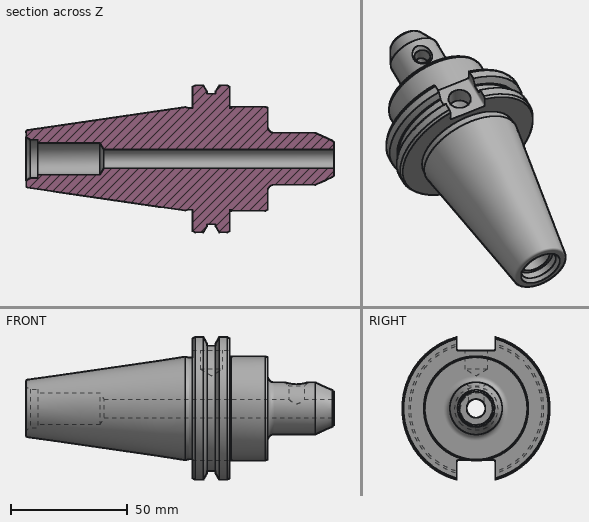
import cadquery as cq
import math

total_length = 131.8

gauge_diameter = 44.4
gauge_x = 68.1
taper_ratio = 7 / 24
rear_fillet = 0.9
relief_diameter = 43.6
relief_cone_end = 69.7

flange_diameter = 63.2
flange_start = 71.1
flange_width = 16.1
flange_chamfer_length = 1.2
flange_chamfer_depth = 0.7
groove_start = 75.9
groove_width = 6.7
groove_floor_diameter = 56.1
groove_flank_length = 1.6
groove_flank_angle = 30.0

collar_diameter = 44.8
collar_end = 103.4
collar_chamfer = 1.2
collar_chamfer_depth = 0.5
collar_neck_diameter = 43.6
collar_neck_length = 0.7
nose_diameter = 22.4
nose_fillet = 2.6
nose_cone_start = 123.7
nose_cone_end_diameter = 15.8
tip_chamfer_length = 0.8
tip_diameter = 14.2

bore_diameter = 7.9
drill_diameter = 13.5
drill_depth = 31.6
drill_tip_angle = 118.0
counterbore_diameter = 16.3
counterbore_depth = 5.0
bore_mouth_diameter = 18.5
bore_mouth_depth = 1.8

slot_width = 16.3
slot_fillet = 0.7
upper_slot_floor = 24.8
lower_slot_floor = 22.1
dimple_diameter = 9.5
dimple_depth = 7.9
screw_x = 115.7
screw_hole_diameter = 6.7
countersink_diameter = 9.7

flange_end = flange_start + flange_width


def revolve_profile(points):
    """Revolve (x, radius) points about the X axis, closing the outline along the axis."""
    closed = [(points[0][0], 0)] + points + [(points[-1][0], 0)]
    return cq.Workplane("XY").polyline(closed).close().revolve(360, (0, 0, 0), (1, 0, 0))


def tip_depth(diameter):
    """Height of the conical end left by a drill."""
    return diameter / 2 / math.tan(math.radians(drill_tip_angle / 2))


def make_taper():
    gauge_radius = gauge_diameter / 2
    rear_radius = gauge_radius - gauge_x * taper_ratio / 2
    taper = revolve_profile([
        (0, rear_radius),
        (gauge_x, gauge_radius),
        (relief_cone_end, relief_diameter / 2),
        (flange_start, relief_diameter / 2),
    ])
    return taper.faces("<X").edges().fillet(rear_fillet)


def make_flange():
    rim = flange_diameter / 2
    edge = rim - flange_chamfer_depth
    floor = groove_floor_diameter / 2
    flank_foot = rim - groove_flank_length / math.tan(math.radians(groove_flank_angle))
    groove_end = groove_start + groove_width
    return revolve_profile([
        (flange_start, edge),
        (flange_start + flange_chamfer_length, rim),
        (groove_start, rim),
        (groove_start + groove_flank_length, flank_foot),
        (groove_start + groove_flank_length, floor),
        (groove_end - groove_flank_length, floor),
        (groove_end - groove_flank_length, flank_foot),
        (groove_end, rim),
        (flange_end - flange_chamfer_length, rim),
        (flange_end, edge),
    ])


def make_collar():
    radius = collar_diameter / 2
    neck_end = flange_end + collar_neck_length
    return revolve_profile([
        (flange_end, collar_neck_diameter / 2),
        (neck_end, collar_neck_diameter / 2),
        (neck_end, radius),
        (collar_end - collar_chamfer, radius),
        (collar_end, radius - collar_chamfer_depth),
    ])


def make_nose():
    radius = nose_diameter / 2
    fillet_offset = nose_fillet * (1 - math.sqrt(0.5))
    return (
        cq.Workplane("XY")
        .moveTo(collar_end, 0)
        .lineTo(collar_end, radius + nose_fillet)
        .threePointArc(
            (collar_end + fillet_offset, radius + fillet_offset),
            (collar_end + nose_fillet, radius),
        )
        .lineTo(nose_cone_start, radius)
        .lineTo(total_length - tip_chamfer_length, nose_cone_end_diameter / 2)
        .lineTo(total_length, tip_diameter / 2)
        .lineTo(total_length, 0)
        .close()
        .revolve(360, (0, 0, 0), (1, 0, 0))
    )


def make_axial_bore():
    bore_radius = bore_diameter / 2
    cone_end = drill_depth + tip_depth(drill_diameter) - tip_depth(bore_diameter)
    return revolve_profile([
        (0, bore_mouth_diameter / 2),
        (bore_mouth_depth, counterbore_diameter / 2),
        (counterbore_depth, counterbore_diameter / 2),
        (counterbore_depth, drill_diameter / 2),
        (drill_depth, drill_diameter / 2),
        (cone_end, bore_radius),
        (total_length, bore_radius),
    ])


def make_drive_slot(floor, side):
    """Slot across the flange; side is +1 for the top and -1 for the bottom."""
    depth = flange_diameter / 2 - floor
    middle = side * (floor + depth / 2)
    inner_face = "<Z" if side > 0 else ">Z"
    return (
        cq.Workplane("XY")
        .box(flange_width, slot_width, depth)
        .faces(inner_face)
        .edges("|X")
        .fillet(slot_fillet)
        .translate((flange_start + flange_width / 2, 0, middle))
    )


def make_dimple():
    """Blind drilled hole in the floor of the upper slot."""
    radius = dimple_diameter / 2
    shoulder = upper_slot_floor - dimple_depth
    return (
        cq.Workplane("XZ")
        .polyline([
            (0, upper_slot_floor),
            (radius, upper_slot_floor),
            (radius, shoulder),
            (0, shoulder - tip_depth(dimple_diameter)),
        ])
        .close()
        .revolve(360, (0, 0, 0), (0, 1, 0))
        .translate((flange_start + flange_width / 2, 0, 0))
    )


def make_screw_hole():
    """Countersunk hole from the top of the nose into the axial bore."""
    top = nose_diameter / 2
    hole_radius = screw_hole_diameter / 2
    sink_radius = countersink_diameter / 2
    return (
        cq.Workplane("XZ")
        .polyline([
            (0, 0),
            (hole_radius, 0),
            (hole_radius, top - (sink_radius - hole_radius)),
            (sink_radius, top),
            (0, top),
        ])
        .close()
        .revolve(360, (0, 0, 0), (0, 1, 0))
        .translate((screw_x, 0, 0))
    )


body = make_taper().union(make_flange()).union(make_collar()).union(make_nose())

result = (
    body.cut(make_axial_bore())
    .cut(make_drive_slot(upper_slot_floor, 1))
    .cut(make_drive_slot(lower_slot_floor, -1))
    .cut(make_dimple())
    .cut(make_screw_hole())
)